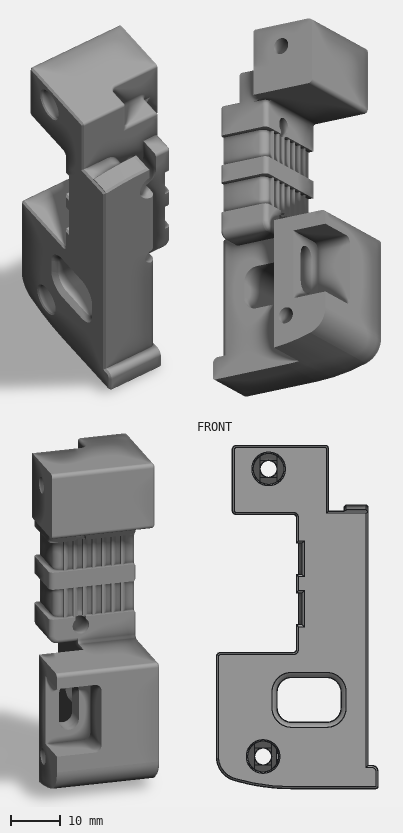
import cadquery as cq
import math

height = 68.75
depth = 21.6
foot_right = 32.4
body_right = 30.4
body_depth = 12.25
body_corner_radius = 1.25
front_chamfer = 0.4

overlap = 0.7
reach = 0.1

head_left = 3.15
head_right = 22.4
head_bottom = 54.9
head_step_x = 17.0
head_step_y = 10.4
head_step_radius = 1.2
shoulder_top = 55.6

notch_wall = 16.0
notch_bottom = 27.3
block_rear_right = 12.1
corner_radius = 0.8
small_radius = 0.55
notch_radius = 0.6
heel_radius = 4.95
sole_start = 15.1
sole_radius = 41.25

foot_top = 4.7
foot_toe_radius = 1.25

neck_right = 27.0
neck_rear = 18.1
neck_bottom = 27.5
neck_upper_top = 61.9
neck_edge_radius = 0.95
neck_corner_radius = 1.65
neck_top_radius = 0.7
neck_head_radius = 2.2

belt_spans = ((32.85, 39.25), (42.9, 49.2))
belt_floor = 17.2
belt_rear = 16.8
belt_round = 1.5
tooth_pitch = 2.0
tooth_count = 7
tooth_start = 1.82
tooth_height = 0.75
tooth_ramp = 0.8
tooth_tip = 0.35

cross_y = 11.585
cross_levels = (31.0, 51.15)
cross_diameter = 3.45
cross_slit_width = 2.2
bore_level = cross_levels[1]
bore_radius = 3.0
bore_lip_radius = 2.7

hood_left = 25.6
hood_rear = 10.8
hood_front_top = 55.9
hood_top = 56.85
hood_bulge = 0.2
hood_chamfer = 0.4
hood_crest_y = 10.0

screw_centres = ((10.45, 64.1), (9.35, 6.45))
screw_diameter = 3.4
screw_head_diameter = 6.2
screw_head_depth = 13.75
screw_chamfer = 0.3
bridge_layer = 0.2

window_centre = (18.55, 17.8)
window_size = (12.8, 8.95)
window_radius = 2.9
window_chamfer = 1.0

side_recess_depth = 7.55
side_recess_bottom = 9.75
side_recess_top = 24.2
side_recess_radius = 1.4
slot_centre = (16.7, 17.3)
slot_width = 4.1
slot_length = 10.05


def box(x_range, y_range, z_range):
    """Box spanning the given coordinate ranges."""
    size = [high - low for low, high in (x_range, y_range, z_range)]
    corner = (x_range[0], y_range[0], z_range[0])
    return cq.Workplane("XY").box(*size, centered=False).translate(corner)


def along_y(y_start=0.0):
    """Plane with axes X and Z; a negative extrusion runs toward +Y."""
    return cq.Workplane("XZ", origin=(0, y_start, 0))


def along_x(x_start=0.0):
    """Plane with axes Y and Z; an extrusion runs toward +X."""
    return cq.Workplane("YZ", origin=(x_start, 0, 0))


def round_outline_corner(solid, x, z, radius):
    """Fillet the edge that runs along Y through the point (x, z)."""
    low = (x - reach, 0, z - reach)
    high = (x + reach, depth, z + reach)
    selector = cq.selectors.BoxSelector(low, high)
    return solid.edges("|Y").edges(selector).fillet(radius)


def outline_block():
    """Full-depth block with the front outline."""
    join_angle = math.asin((sole_start - heel_radius) / (sole_radius - heel_radius))
    heel_top = sole_radius - (sole_radius - heel_radius) * math.cos(join_angle)

    def heel_point(angle):
        return (heel_radius - heel_radius * math.sin(angle), heel_top - heel_radius * math.cos(angle))

    def sole_point(angle):
        return (sole_start - sole_radius * math.sin(angle), sole_radius - sole_radius * math.cos(angle))

    block = (
        along_y()
        .moveTo(0, heel_top)
        .threePointArc(heel_point((join_angle + math.pi / 2) / 2), heel_point(join_angle))
        .threePointArc(sole_point(join_angle / 2), sole_point(0))
        .lineTo(foot_right, 0)
        .lineTo(foot_right, foot_top)
        .lineTo(body_right, foot_top)
        .lineTo(body_right, shoulder_top)
        .lineTo(head_right, shoulder_top)
        .lineTo(head_right, height)
        .lineTo(head_left, height)
        .lineTo(head_left, head_bottom)
        .lineTo(notch_wall, head_bottom)
        .lineTo(notch_wall, notch_bottom)
        .lineTo(0, notch_bottom)
        .close()
        .extrude(-depth)
    )
    rounds = (
        (head_left, height, corner_radius),
        (head_left, head_bottom, corner_radius),
        (0, notch_bottom, corner_radius),
        (head_right, height, small_radius),
        (foot_right, 0, small_radius),
        (foot_right, foot_top, foot_toe_radius),
        (notch_wall, head_bottom, notch_radius),
        (notch_wall, notch_bottom, notch_radius),
    )
    for x, z, radius in rounds:
        block = round_outline_corner(block, x, z, radius)
    return block


def round_vertical_edge(solid, x, y, radius):
    """Fillet the edges that run along Z through the point (x, y)."""
    selector = cq.selectors.BoxSelector((x - reach, y - reach, 0), (x + reach, y + reach, height))
    return solid.edges("|Z").edges(selector).fillet(radius)


def round_head_step(solid):
    """Fillet the top edges of the inner corner at the back of the head."""
    low = (head_step_x - small_radius, head_step_y - small_radius, height - overlap)
    high = (head_right - small_radius, depth - overlap, height + overlap)
    return solid.edges(cq.selectors.BoxSelector(low, high)).fillet(small_radius)


def round_neck_root(solid):
    """Concave fillet where the top of the raised neck meets the head."""
    low = (head_step_x - overlap, head_step_y - overlap, neck_upper_top - small_radius)
    high = (head_right - small_radius, neck_rear - overlap, neck_upper_top + small_radius)
    return solid.edges(cq.selectors.BoxSelector(low, high)).fillet(neck_top_radius)


def region_limits():
    """Front slab plus the full-depth head and lower block, each within its own limits."""
    slab = box((0, foot_right), (0, body_depth), (0, height))
    slab = slab.cut(box((head_step_x, foot_right), (head_step_y, depth), (shoulder_top, height)))
    slab = round_vertical_edge(slab, head_step_x, head_step_y, head_step_radius)
    head = box((0, head_step_x), (0, depth), (head_bottom, height))
    block = box((0, block_rear_right), (0, depth), (0, notch_bottom))
    notch_fillet = box(
        (0, notch_wall),
        (0, neck_rear - neck_edge_radius),
        (head_bottom - notch_radius, head_bottom),
    )
    return slab.union(head).union(block).union(notch_fillet)


def neck():
    """Arm behind the slab, with a raised part beside the head."""
    lower = box((notch_wall, neck_right), (body_depth - overlap, neck_rear), (neck_bottom, shoulder_top))
    lower = lower.edges("|X and >Y and <Z").fillet(neck_corner_radius)
    lower = lower.edges("|Z and <X and >Y").fillet(neck_edge_radius)
    lower = lower.edges("|Z and >X and >Y").fillet(neck_top_radius)
    lower = lower.edges(">Z and >X").fillet(neck_top_radius)
    upper = box(
        (head_step_x - overlap, head_right),
        (head_step_y - overlap, neck_rear),
        (head_bottom, neck_upper_top),
    )
    upper = upper.edges(">Z and (>X or >Y)").fillet(neck_top_radius)
    return lower.union(upper)


def neck_head_fillet():
    """Concave fillet between the rear of the raised neck and the side of the head."""
    x, y, r = head_step_x, neck_rear, neck_head_radius
    middle = r * (1 - math.sqrt(0.5))
    return (
        cq.Workplane("XY", origin=(0, 0, head_bottom))
        .moveTo(x - overlap, y - overlap)
        .lineTo(x + r, y - overlap)
        .lineTo(x + r, y)
        .threePointArc((x + middle, y + middle), (x, y + r))
        .lineTo(x - overlap, y + r)
        .close()
        .extrude(neck_upper_top - 2 * neck_top_radius - head_bottom)
    )


def belt_recess(z_low, z_high):
    """Toothed groove on the left of the neck, carried round its rear side."""
    tip = belt_floor - tooth_height
    path = cq.Workplane("XY", origin=(0, 0, z_low)).moveTo(notch_wall - overlap, -overlap)
    path = path.lineTo(belt_floor, -overlap)
    for index in range(tooth_count):
        y = tooth_start + index * tooth_pitch
        path = (
            path.lineTo(belt_floor, y)
            .lineTo(tip, y + tooth_ramp)
            .lineTo(tip, y + tooth_ramp + tooth_tip)
            .lineTo(belt_floor, y + tooth_ramp + tooth_tip)
        )
    round_start = belt_rear - belt_round
    shift = belt_round * (1 - math.sqrt(0.5))
    return (
        path.lineTo(belt_floor, round_start)
        .threePointArc((belt_floor + shift, belt_rear - shift), (belt_floor + belt_round, belt_rear))
        .lineTo(neck_right + overlap, belt_rear)
        .lineTo(neck_right + overlap, neck_rear + overlap)
        .lineTo(notch_wall - overlap, neck_rear + overlap)
        .close()
        .extrude(z_high - z_low)
    )


def cross_hole(z):
    """Round hole along X through the whole part."""
    return along_x().center(cross_y, z).circle(cross_diameter / 2).extrude(foot_right)


def cross_slit(z_low, z_high):
    """Narrow groove that joins a cross hole to the belt recess beside it."""
    half = cross_slit_width / 2
    return box((notch_wall - overlap, belt_floor), (cross_y - half, cross_y + half), (z_low, z_high))


def bore():
    """Round counterbore of the upper cross hole."""
    return (
        along_x(head_right)
        .center(cross_y, bore_level)
        .circle(bore_radius)
        .extrude(foot_right - head_right)
    )


def bore_opening():
    """Way up from the counterbore through the shoulder, with a rounded front lip."""
    front = cross_y - bore_radius
    rear = cross_y + bore_radius
    lip_z = shoulder_top - bore_lip_radius
    shift = bore_lip_radius * (1 - math.sqrt(0.5))
    return (
        along_x(head_right)
        .moveTo(front, bore_level)
        .lineTo(front, lip_z)
        .threePointArc((front - shift, shoulder_top - shift), (front - bore_lip_radius, shoulder_top))
        .lineTo(front - bore_lip_radius, shoulder_top + overlap)
        .lineTo(rear, shoulder_top + overlap)
        .lineTo(rear, bore_level)
        .close()
        .extrude(foot_right - head_right)
    )


def hood():
    """Gently crowned cover over the outer end of the counterbore."""
    middle_y = (front_chamfer + hood_crest_y) / 2
    middle_z = (hood_front_top + hood_top) / 2 + hood_bulge
    crown = (
        along_x(hood_left)
        .moveTo(front_chamfer, bore_level)
        .lineTo(front_chamfer, hood_front_top)
        .threePointArc((middle_y, middle_z), (hood_crest_y, hood_top))
        .lineTo(hood_rear, hood_top - hood_chamfer)
        .lineTo(hood_rear, bore_level)
        .close()
        .extrude(body_right - hood_left)
    )
    return crown.faces("<X or >X").edges("%CIRCLE").chamfer(hood_chamfer)


def screw_hole(x, z):
    """Chamfered counterbore, two bridging steps at its end, and the through hole."""
    side = screw_diameter
    mouth = screw_head_diameter / 2
    through = along_y().center(x, z).circle(side / 2).extrude(-depth)
    head = along_y().center(x, z).circle(mouth).extrude(-screw_head_depth)
    strip = along_y(screw_head_depth).center(x, z).circle(mouth).extrude(-bridge_layer)
    strip = strip.intersect(along_y().center(x, z).rect(side, 2 * mouth).extrude(-depth))
    square = along_y(screw_head_depth).center(x, z).rect(side, side).extrude(-2 * bridge_layer)
    flare = along_y().center(x, z).circle(mouth + screw_chamfer).extrude(-screw_chamfer, taper=45)
    return through.union(head).union(strip).union(square).union(flare)


def window():
    """Rounded opening through the slab, flared at the front."""
    width, tall = window_size
    opening = (
        along_y()
        .center(*window_centre)
        .rect(width, tall)
        .extrude(-body_depth)
        .edges("|Y")
        .fillet(window_radius)
    )
    outer = (
        along_y()
        .sketch()
        .push([window_centre])
        .rect(width + 2 * window_chamfer, tall + 2 * window_chamfer)
        .reset()
        .vertices()
        .fillet(window_radius + window_chamfer)
        .finalize()
    )
    return opening.union(outer.extrude(-window_chamfer, taper=45))


def side_recess():
    """Open-backed recess in the lower block and the slot through its floor."""
    recess = box((0, side_recess_depth), (body_depth, depth), (side_recess_bottom, side_recess_top))
    recess = recess.edges("|X and <Y").fillet(side_recess_radius)
    slot = along_x().center(*slot_centre).slot2D(slot_length, slot_width, 90).extrude(block_rear_right)
    return recess.union(slot)


result = outline_block().intersect(region_limits())
result = round_vertical_edge(result, body_right, body_depth, body_corner_radius)
result = round_head_step(result)
result = round_neck_root(result.union(neck_head_fillet()).union(neck()))

for z_range in belt_spans:
    result = result.cut(belt_recess(*z_range))

result = result.faces("<Y").edges().chamfer(front_chamfer)

result = result.cut(bore_opening()).union(hood()).cut(bore())
for level in cross_levels:
    result = result.cut(cross_hole(level))
result = result.cut(cross_slit(cross_levels[0], belt_spans[0][0]))
result = result.cut(cross_slit(belt_spans[1][1], cross_levels[1]))

for centre in screw_centres:
    result = result.cut(screw_hole(*centre))
result = result.cut(window()).cut(side_recess())